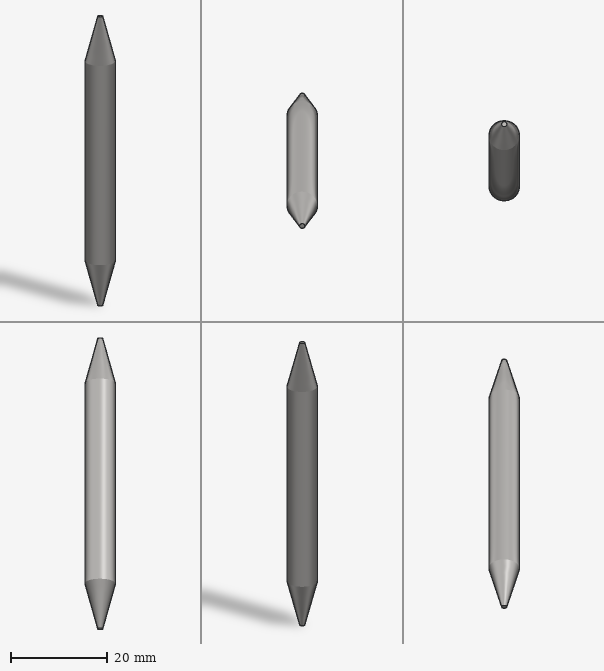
import cadquery as cq

length = 63.5
body_diameter = 6.35
tip_diameter = 1.1
cone_length = 9.85

body_radius = body_diameter / 2
tip_radius = tip_diameter / 2
end_z = length / 2
shoulder_z = end_z - cone_length

profile = (
    cq.Workplane("XZ")
    .moveTo(0, -end_z)
    .lineTo(tip_radius, -end_z)
    .lineTo(body_radius, -shoulder_z)
    .lineTo(body_radius, shoulder_z)
    .lineTo(tip_radius, end_z)
    .lineTo(0, end_z)
    .close()
)

result = profile.revolve(360, (0, 0, 0), (0, 1, 0))